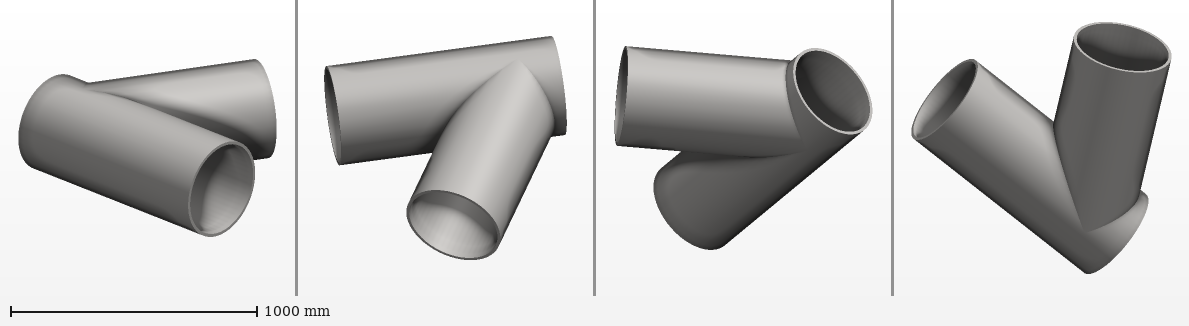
import cadquery as cq
import math

outer_diameter = 406.0
inner_diameter = 381.0

main_length = 927.0

branch_angle = 60.0
branch_start_from_left_end = 167.0
overall_depth = 965.0

angle = math.radians(branch_angle)
outer_radius = outer_diameter / 2
branch_length = (
    overall_depth - outer_radius - outer_radius * math.cos(angle)
) / math.sin(angle)


def main_cylinder(diameter, length):
    """Cylinder along X, centred on the origin."""
    return (
        cq.Workplane("YZ", origin=(-length / 2, 0, 0))
        .circle(diameter / 2)
        .extrude(length)
    )


def branch_cylinder(diameter):
    """Cylinder running from the axis crossing to the branch's open end."""
    crossing = (-main_length / 2 + branch_start_from_left_end, 0, 0)
    direction = (math.cos(angle), math.sin(angle), 0)
    end_plane = cq.Plane(origin=crossing, xDir=(0, 0, 1), normal=direction)
    return cq.Workplane(end_plane).circle(diameter / 2).extrude(branch_length)


bore_overrun = outer_diameter
body = main_cylinder(outer_diameter, main_length).union(branch_cylinder(outer_diameter))
main_bore = main_cylinder(inner_diameter, main_length + 2 * bore_overrun)
result = body.cut(main_bore).cut(branch_cylinder(inner_diameter))